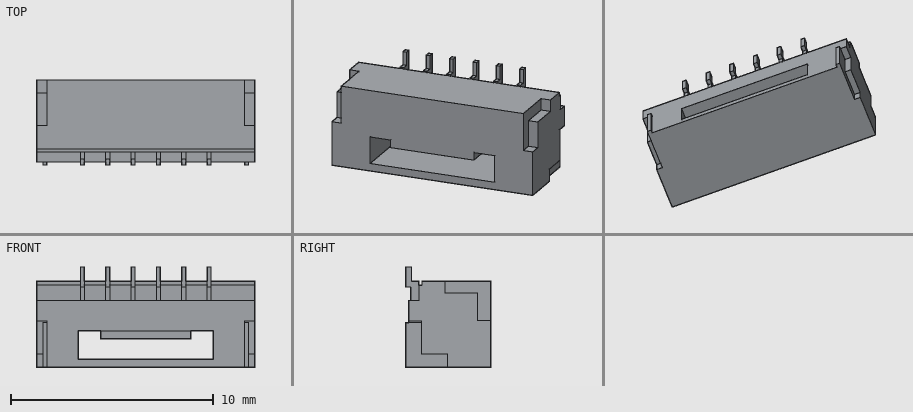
import cadquery as cq

HOUSING_LENGTH = 10.75
HOUSING_DEPTH = 4.05
HOUSING_HEIGHT = 4.25
LEDGE_DEPTH = 0.5
LEDGE_Z = 3.3
SHOULDER_DEPTH = 0.65
SHOULDER_Z = HOUSING_HEIGHT - 0.2

CONTACT_COUNT = 6
CONTACT_PITCH = 1.25
CONTACT_WIDTH = 0.2
FOOT_FRONT_Y = 0.1
TAIL_OVERHANG = 0.15
TAIL_THICKNESS = 0.3
TAIL_BOTTOM_Z = 3.95
TAIL_TOP_Z = 4.95

WINDOW_LENGTH = 6.65
WINDOW_BOTTOM_Z = 0.4
WINDOW_TOP_Z = 1.8
LIP_LENGTH = 4.45
LIP_HEIGHT = 0.4
LIP_DEPTH = HOUSING_DEPTH / 2

NOTCH_WIDTH = 0.5
REAR_NOTCH_LENGTH = 2.25
REAR_NOTCH_FLOOR_Z = 3.65
REAR_NOTCH_LEG_DEPTH = 0.65
REAR_NOTCH_BOTTOM_Z = 2.3
FRONT_NOTCH_TOP_Z = 2.27
FRONT_NOTCH_LEG_DEPTH = 0.62
FRONT_NOTCH_LENGTH = 1.91
FRONT_NOTCH_FOOT_HEIGHT = 0.65

TAB_THICKNESS = 0.2
TAB_TOP_Z = 2.2


def extrude_profile(points, x_start, width):
    """Extrude a (Y, Z) outline along +X from x_start."""
    return cq.Workplane("YZ", origin=(x_start, 0, 0)).polyline(points).close().extrude(width)


def make_block(x_length, y_range, z_range):
    """Box centred on X that spans the given Y and Z ranges."""
    y_min, y_max = y_range
    z_min, z_max = z_range
    outline = [(y_min, z_min), (y_max, z_min), (y_max, z_max), (y_min, z_max)]
    return extrude_profile(outline, -x_length / 2, x_length)


def both_ends(solid):
    """The solid together with its mirror image at the opposite end."""
    return solid.union(solid.mirror("YZ"))


def make_housing():
    profile = [
        (0, 0),
        (HOUSING_DEPTH, 0),
        (HOUSING_DEPTH, HOUSING_HEIGHT),
        (SHOULDER_DEPTH, HOUSING_HEIGHT),
        (SHOULDER_DEPTH, SHOULDER_Z),
        (LEDGE_DEPTH, SHOULDER_Z),
        (LEDGE_DEPTH, LEDGE_Z),
        (0, LEDGE_Z),
    ]
    return extrude_profile(profile, -HOUSING_LENGTH / 2, HOUSING_LENGTH)


def make_window():
    opening = make_block(WINDOW_LENGTH, (0, HOUSING_DEPTH), (WINDOW_BOTTOM_Z, WINDOW_TOP_Z))
    lip = make_block(
        LIP_LENGTH,
        (HOUSING_DEPTH - LIP_DEPTH, HOUSING_DEPTH),
        (WINDOW_TOP_Z - LIP_HEIGHT, WINDOW_TOP_Z),
    )
    return opening.cut(lip)


def make_rear_notches():
    leg_y = HOUSING_DEPTH - REAR_NOTCH_LEG_DEPTH
    front_y = HOUSING_DEPTH - REAR_NOTCH_LENGTH
    profile = [
        (HOUSING_DEPTH, HOUSING_HEIGHT),
        (front_y, HOUSING_HEIGHT),
        (front_y, REAR_NOTCH_FLOOR_Z),
        (leg_y, REAR_NOTCH_FLOOR_Z),
        (leg_y, REAR_NOTCH_BOTTOM_Z),
        (HOUSING_DEPTH, REAR_NOTCH_BOTTOM_Z),
    ]
    return both_ends(extrude_profile(profile, -HOUSING_LENGTH / 2, NOTCH_WIDTH))


def front_l_profile(front_y, top_z):
    """L outline shared by the front notches and the solder tabs in them."""
    return [
        (front_y, 0),
        (FRONT_NOTCH_LENGTH, 0),
        (FRONT_NOTCH_LENGTH, FRONT_NOTCH_FOOT_HEIGHT),
        (FRONT_NOTCH_LEG_DEPTH, FRONT_NOTCH_FOOT_HEIGHT),
        (FRONT_NOTCH_LEG_DEPTH, top_z),
        (front_y, top_z),
    ]


def make_front_notches():
    profile = front_l_profile(0, FRONT_NOTCH_TOP_Z)
    return both_ends(extrude_profile(profile, -HOUSING_LENGTH / 2, NOTCH_WIDTH))


def make_solder_tabs():
    profile = front_l_profile(-TAIL_OVERHANG, TAB_TOP_Z)
    tab_x = -HOUSING_LENGTH / 2 + NOTCH_WIDTH - TAB_THICKNESS
    return both_ends(extrude_profile(profile, tab_x, TAB_THICKNESS))


def make_contact(x_center):
    tail_back_y = TAIL_THICKNESS - TAIL_OVERHANG
    profile = [
        (LEDGE_DEPTH, LEDGE_Z),
        (LEDGE_DEPTH, HOUSING_HEIGHT),
        (tail_back_y, HOUSING_HEIGHT),
        (tail_back_y, TAIL_TOP_Z),
        (-TAIL_OVERHANG, TAIL_TOP_Z),
        (-TAIL_OVERHANG, TAIL_BOTTOM_Z),
        (FOOT_FRONT_Y, TAIL_BOTTOM_Z),
        (FOOT_FRONT_Y, LEDGE_Z),
    ]
    return extrude_profile(profile, x_center - CONTACT_WIDTH / 2, CONTACT_WIDTH)


housing = make_housing().cut(make_window()).cut(make_rear_notches()).cut(make_front_notches())
result = housing.union(make_solder_tabs())
for index in range(CONTACT_COUNT):
    contact_x = (index - (CONTACT_COUNT - 1) / 2) * CONTACT_PITCH
    result = result.union(make_contact(contact_x))